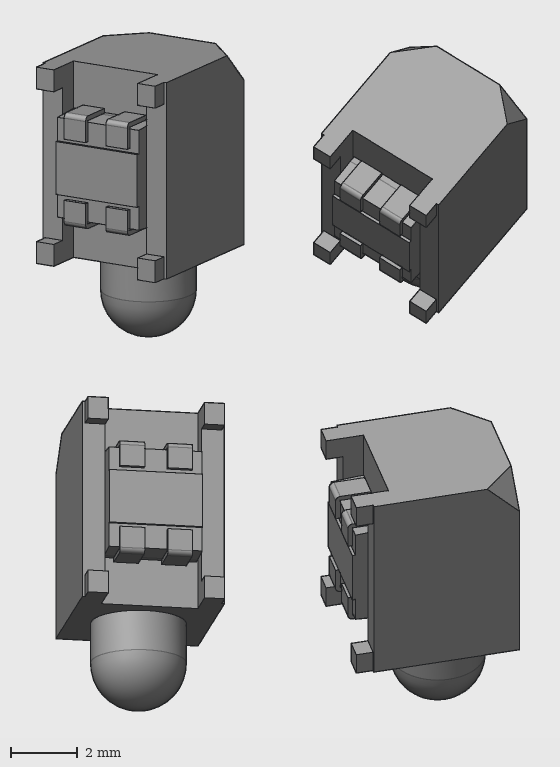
import cadquery as cq
import math

housing_width = 4.32
housing_depth = 4.51
housing_height = 6.10
corner_cut = 1.0

channel_width = 2.93
channel_depth = 0.635

feet_span = 4.15
foot_height = 0.68
foot_length = 0.52
mounting_plane = -foot_length

lens_radius = 1.435
lens_length = 2.66
lens_centre_y = 2.54

chip_width = 2.83
chip_height = 3.21
chip_centre_z = housing_height / 2
chip_straight_depth = 0.20
chip_draft = 0.055
panel_height = 1.64
panel_setback = 0.05

terminal_width = 0.75
terminal_pitch = 1.455
terminal_thickness = 0.145
terminal_face_length = 0.80
terminal_back_gap = 0.055

overlap = 0.1


def box_between(x_range, y_range, z_range):
    """Axis-aligned box spanning the given ranges."""
    (x0, x1), (y0, y1), (z0, z1) = x_range, y_range, z_range
    return cq.Workplane("XY").box(x1 - x0, y1 - y0, z1 - z0, centered=False).translate((x0, y0, z0))


def make_corner_cut(side):
    """Tetrahedron removed from one upper back corner; side is -1 or +1 in X."""
    corner = cq.Vector(side * housing_width / 2, housing_depth, housing_height)
    along_x = corner + cq.Vector(-side * corner_cut, 0, 0)
    along_y = corner + cq.Vector(0, -corner_cut, 0)
    along_z = corner + cq.Vector(0, 0, -corner_cut)
    triangles = [
        (corner, along_x, along_y),
        (corner, along_y, along_z),
        (corner, along_z, along_x),
        (along_x, along_y, along_z),
    ]
    faces = [cq.Face.makeFromWires(cq.Wire.makePolygon(points, close=True)) for points in triangles]
    return cq.Workplane(cq.Solid.makeSolid(cq.Shell.makeShell(faces)))


def make_housing():
    """Block with its mounting channel, feet and two cut corners."""
    half_width = housing_width / 2
    half_channel = channel_width / 2
    housing = box_between((-half_width, half_width), (0, housing_depth), (0, housing_height))
    channel = box_between((-half_channel, half_channel), (0, channel_depth), (0, housing_height))
    housing = housing.cut(channel)
    for side in (-1, 1):
        foot_x = sorted((side * half_channel, side * feet_span / 2))
        for foot_bottom in (0, housing_height - foot_height):
            foot_z = (foot_bottom, foot_bottom + foot_height)
            housing = housing.union(box_between(foot_x, (mounting_plane, overlap), foot_z))
        housing = housing.cut(make_corner_cut(side))
    return housing


def make_lens():
    """Round post ending in a hemisphere, pointing down from the housing."""
    dome_centre_z = lens_radius - lens_length
    post = (
        cq.Workplane("XY", origin=(0, lens_centre_y, dome_centre_z))
        .circle(lens_radius)
        .extrude(overlap - dome_centre_z)
    )
    dome = cq.Workplane("XY").sphere(lens_radius).translate((0, lens_centre_y, dome_centre_z))
    return post.union(dome)


def make_chip():
    """Chip package: drafted ends, stepped front with a raised middle panel."""
    half_height = chip_height / 2
    draft_start = channel_depth - chip_straight_depth
    ledge_y = mounting_plane + terminal_thickness
    panel_y = mounting_plane + panel_setback
    upper_half = [
        (channel_depth + overlap, half_height),
        (draft_start, half_height),
        (ledge_y, half_height - chip_draft),
        (ledge_y, panel_height / 2),
        (panel_y, panel_height / 2),
    ]
    lower_half = [(y, -z) for y, z in reversed(upper_half)]
    return (
        cq.Workplane("YZ", origin=(0, 0, chip_centre_z))
        .polyline(upper_half + lower_half)
        .close()
        .extrude(chip_width / 2, both=True)
    )


def make_terminal(centre_x, end):
    """L-shaped strip folded over a chip end; end is +1 for the upper, -1 for the lower."""
    inner_z = chip_height / 2
    outer_z = inner_z + terminal_thickness
    tip_z = outer_z - terminal_face_length
    inner_y = mounting_plane + terminal_thickness
    back_y = channel_depth - terminal_back_gap
    bend_mid = terminal_thickness * (1 - math.sqrt(0.5))
    profile = (
        cq.Workplane("YZ", origin=(centre_x, 0, chip_centre_z))
        .moveTo(back_y, end * outer_z)
        .lineTo(inner_y, end * outer_z)
        .threePointArc(
            (mounting_plane + bend_mid, end * (outer_z - bend_mid)),
            (mounting_plane, end * inner_z),
        )
        .lineTo(mounting_plane, end * tip_z)
        .lineTo(inner_y, end * tip_z)
        .lineTo(inner_y, end * inner_z)
        .lineTo(back_y, end * inner_z)
        .close()
    )
    return profile.extrude(terminal_width / 2, both=True)


result = make_housing().union(make_lens()).union(make_chip())
for terminal_side in (-1, 1):
    for chip_end in (-1, 1):
        result = result.union(make_terminal(terminal_side * terminal_pitch / 2, chip_end))